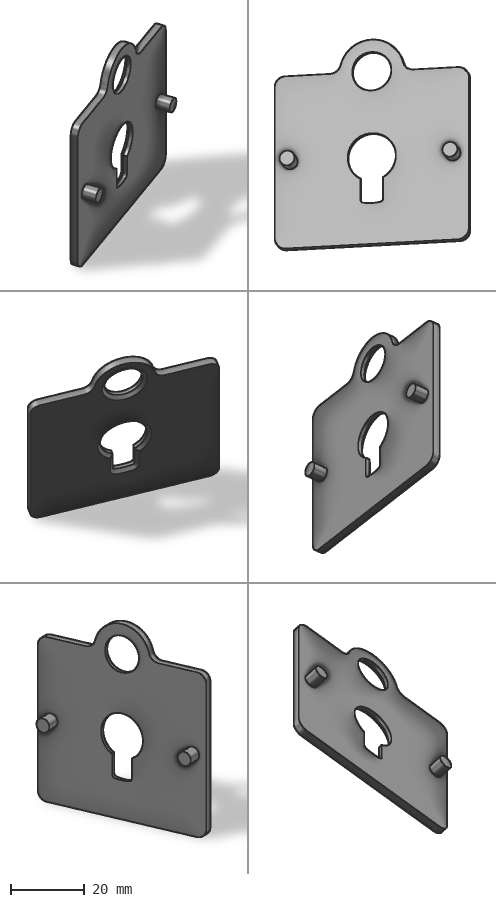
import cadquery as cq
import math

plate_width = 53.6
plate_height = 48.2
plate_thickness = 2.25
corner_radius = 3.0

total_height = 57.2
tab_radius = 8.85
tab_center_z = total_height - tab_radius
tab_blend_radius = 3.0
tab_hole_diameter = 10.75

keyhole_center_z = 24.35
keyhole_diameter = 13.25
slot_width = 6.25
slot_bottom_radius = 12.9
slot_corner_radius = 1.0

front_chamfer = 1.05

total_depth = 6.5
pin_diameter = 4.1
pin_spacing = 44.95
pin_z = plate_height / 2


def make_plate():
    return (
        cq.Workplane("YZ")
        .rect(plate_width, plate_height)
        .extrude(plate_thickness)
        .translate((0, 0, plate_height / 2))
        .edges("|X")
        .fillet(corner_radius)
    )


def make_tab():
    """Disc plus a foot whose concave sides blend into the plate's top edge."""
    blend_center_z = plate_height + tab_blend_radius
    center_distance = tab_radius + tab_blend_radius
    rise = blend_center_z - tab_center_z
    blend_center_y = math.sqrt(center_distance**2 - rise**2)

    tangent_y = blend_center_y * tab_radius / center_distance
    tangent_z = tab_center_z + rise * tab_radius / center_distance

    tangent_angle = math.pi + math.asin(rise / center_distance)
    middle_angle = (tangent_angle + 1.5 * math.pi) / 2
    middle_y = blend_center_y + tab_blend_radius * math.cos(middle_angle)
    middle_z = blend_center_z + tab_blend_radius * math.sin(middle_angle)

    foot_z = plate_height - tab_radius
    return (
        cq.Workplane("YZ")
        .moveTo(-blend_center_y, foot_z)
        .lineTo(blend_center_y, foot_z)
        .lineTo(blend_center_y, plate_height)
        .threePointArc((middle_y, middle_z), (tangent_y, tangent_z))
        .threePointArc((0, total_height), (-tangent_y, tangent_z))
        .threePointArc((-middle_y, middle_z), (-blend_center_y, plate_height))
        .close()
        .extrude(plate_thickness)
    )


def make_round_cutter(center_z, radius):
    return cq.Workplane("YZ").center(0, center_z).circle(radius).extrude(plate_thickness)


def make_keyhole_cutter():
    round_opening = make_round_cutter(keyhole_center_z, keyhole_diameter / 2)
    half_width = slot_width / 2
    floor_end_z = keyhole_center_z - math.sqrt(slot_bottom_radius**2 - half_width**2)
    slot = (
        cq.Workplane("YZ")
        .moveTo(half_width, keyhole_center_z)
        .lineTo(half_width, floor_end_z)
        .threePointArc((0, keyhole_center_z - slot_bottom_radius), (-half_width, floor_end_z))
        .lineTo(-half_width, keyhole_center_z)
        .close()
        .extrude(plate_thickness)
        .faces("<Z")
        .edges("|X")
        .fillet(slot_corner_radius)
    )
    return round_opening.union(slot)


def make_pins():
    return (
        cq.Workplane("YZ", origin=(plate_thickness, 0, pin_z))
        .pushPoints([(-pin_spacing / 2, 0), (pin_spacing / 2, 0)])
        .circle(pin_diameter / 2)
        .extrude(total_depth - plate_thickness)
    )


body = make_plate().union(make_tab())
body = body.cut(make_round_cutter(tab_center_z, tab_hole_diameter / 2))
body = body.cut(make_keyhole_cutter())

opening_wires = body.faces("<X").val().innerWires()
front_edges = [edge for wire in opening_wires for edge in wire.Edges()]
body = body.newObject(front_edges).chamfer(front_chamfer)

result = body.union(make_pins())